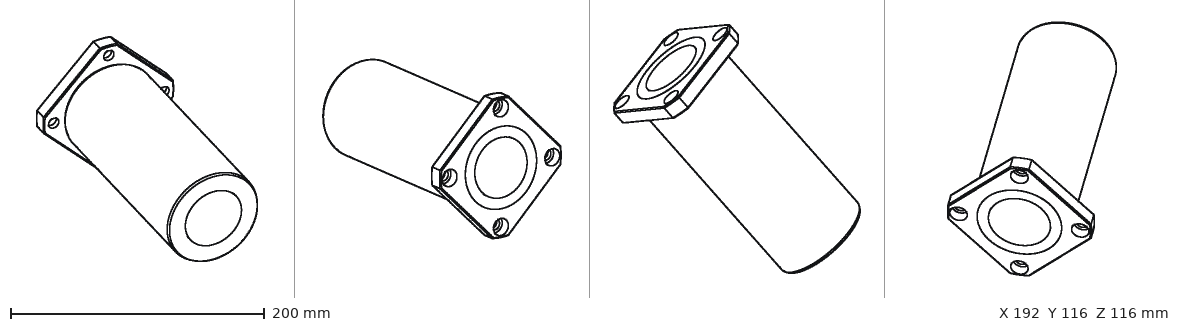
import cadquery as cq

total_length = 192.0
tube_diameter = 80.0
bore_diameter = 50.0

tube_chamfer_length = 2.1
tube_chamfer_depth = 1.0

flange_side = 92.0
flange_corner_diameter = 116.0
flange_thickness = 13.0
flange_chamfer = 1.0

ring_diameter = 68.0
ring_depth = 0.1

hole_count = 4
hole_circle_diameter = 98.0
hole_diameter = 9.0
counterbore_diameter = 14.0
counterbore_depth = 8.6


def cylinder(diameter, length, start=0.0):
    """Cylinder on the part axis, running toward +X from x = start."""
    return cq.Workplane("YZ", origin=(start, 0, 0)).circle(diameter / 2).extrude(length)


def make_flange():
    """Square plate with rounded-off corners and chamfered rims on both faces."""
    square = (
        cq.Workplane("YZ")
        .transformed(rotate=(0, 0, 45))
        .rect(flange_side, flange_side)
        .extrude(flange_thickness)
    )
    disc = cylinder(flange_corner_diameter, flange_thickness)
    return square.intersect(disc).faces("<X or >X").edges().chamfer(flange_chamfer)


def make_tube():
    """Solid cylinder behind the flange, chamfered at both ends."""
    tube = cylinder(tube_diameter, total_length - flange_thickness, start=flange_thickness)
    for end_face in ("<X", ">X"):
        tube = tube.faces(end_face).edges().chamfer(tube_chamfer_length, tube_chamfer_depth)
    return tube


def hole_pattern(diameter, depth):
    """Cylinders at the mounting hole positions, reaching inward from the outer flange face."""
    return (
        cq.Workplane("YZ")
        .polarArray(hole_circle_diameter / 2, 0, 360, hole_count)
        .circle(diameter / 2)
        .extrude(depth)
    )


body = make_flange().union(make_tube())
body = body.cut(cylinder(bore_diameter, total_length))
body = body.cut(cylinder(ring_diameter, ring_depth))
body = body.cut(hole_pattern(hole_diameter, flange_thickness))
result = body.cut(hole_pattern(counterbore_diameter, counterbore_depth))